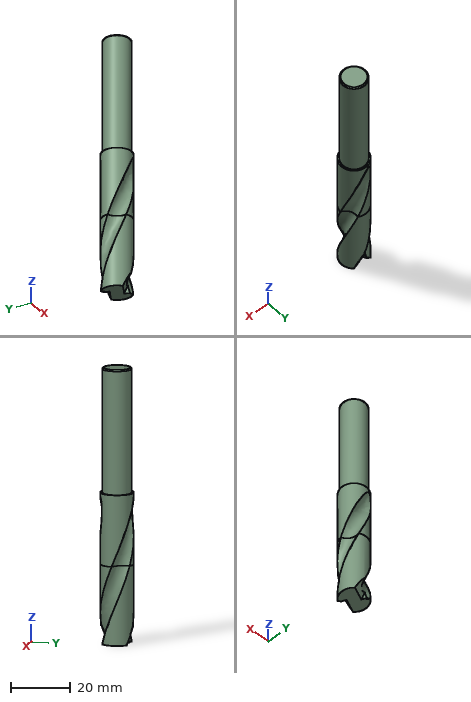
import cadquery as cq
import math

total_length = 95.0
cutting_diameter = 11.3
shank_diameter = 10.0
shank_chamfer = 0.5
end_height = 0.3
joint_height = 27.5
shoulder_height = 52.1

flute_count = 2
flute_lead = 87.4
flute_half_angle = 34.0
core_radius = 3.4
flute_top = 42.4
runout_vector = cq.Vector(3.7, -1.6, 8.5)
overrun = 2.85

lip_outer = cq.Vector(-3.7, -4.3, end_height)
lip_inner = cq.Vector(1.7, -1.8, end_height)
gash_tilt = 23.0
gash_height = 5.7
gash_width = 7.6

point_x = -2.85
point_y = 3.5
point_radius = 0.3

rim_radius = cutting_diameter / 2
turn_step = 360.0 / flute_count


def around_axis(shape, angle):
    return shape.rotate(cq.Vector(0, 0, 0), cq.Vector(0, 0, 1), angle)


def flute_section(height):
    """Rounded groove outline opening toward -Y."""
    half_width = rim_radius * math.sin(math.radians(flute_half_angle))
    edge_y = -rim_radius * math.cos(math.radians(flute_half_angle))
    outer_y = -(rim_radius + overrun)
    return (
        cq.Workplane("XY", origin=(0, 0, height))
        .moveTo(-half_width, edge_y)
        .threePointArc((0, -core_radius), (half_width, edge_y))
        .lineTo(half_width, outer_y)
        .lineTo(-half_width, outer_y)
        .close()
    )


def flute_cutters():
    """Helical groove and its straight runout, for the first flute."""
    twist = 360.0 * flute_top / flute_lead
    helix = flute_section(0).twistExtrude(flute_top, twist).val()
    helix = around_axis(helix, -twist)
    runout_wire = flute_section(flute_top).wire().val()
    runout = cq.Solid.extrudeLinear(runout_wire, [], runout_vector)
    return [helix, runout]


def gash_cutter():
    """Wedge under a sloping face that starts on the straight end lip."""
    lip = lip_inner - lip_outer
    outward = cq.Vector(lip.y, -lip.x, 0).normalized()
    start = lip_outer - lip.normalized() * overrun
    plane = cq.Plane(origin=start, xDir=outward, normal=-lip)
    slope_reach = gash_height * math.tan(math.radians(gash_tilt))
    profile = [(0, 0), (slope_reach, gash_height), (gash_width, gash_height), (gash_width, 0)]
    return cq.Workplane(plane).polyline(profile).close().extrude(-(lip.Length + overrun)).val()


def cut_all(body, cutters):
    """Cut every cutter, repeated for each flute."""
    for index in range(flute_count):
        for cutter in cutters:
            body = body.cut(cq.Workplane(around_axis(cutter, index * turn_step)))
    return body


def make_cutting_tip(flutes):
    tip = (
        cq.Workplane("XY", origin=(0, 0, end_height))
        .circle(rim_radius)
        .extrude(joint_height - end_height)
    )
    point = cq.Solid.makeCone(
        point_radius,
        0,
        end_height,
        pnt=cq.Vector(point_x, point_y, end_height),
        dir=cq.Vector(0, 0, -1),
    )
    return cut_all(tip, flutes + [gash_cutter()]).union(cq.Workplane(point))


def make_shank(flutes):
    fluted = (
        cq.Workplane("XY", origin=(0, 0, joint_height))
        .circle(rim_radius)
        .extrude(shoulder_height - joint_height)
    )
    handle = (
        cq.Workplane("XY", origin=(0, 0, shoulder_height))
        .circle(shank_diameter / 2)
        .extrude(total_length - shoulder_height)
        .faces(">Z")
        .chamfer(shank_chamfer)
    )
    return cut_all(fluted, flutes).union(handle)


flutes = flute_cutters()
cutting_tip = make_cutting_tip(flutes)
shank = make_shank(flutes)

result = cq.Compound.makeCompound([cutting_tip.val(), shank.val()])